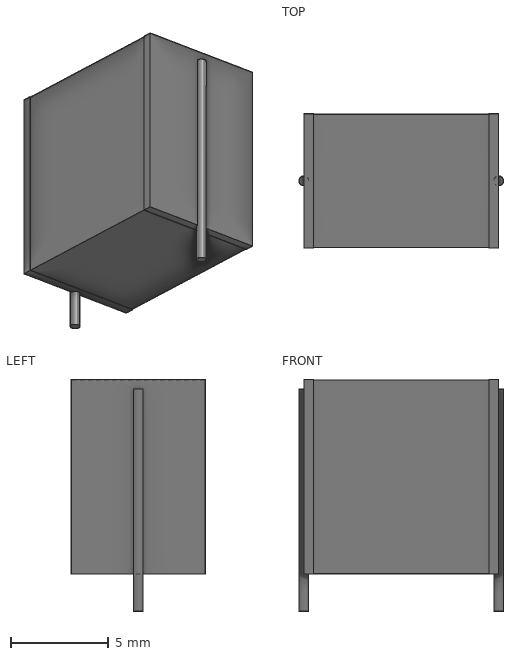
import cadquery as cq

body_length = 10.0
body_width = 6.9
body_height = 10.0

plate_thickness = 0.5

core_setback = 0.02

lead_diameter = 0.5
lead_drop = 1.9
lead_top_gap = 0.5
lead_length = lead_drop + body_height - lead_top_gap


def make_end_plate(side):
    """End plate at the X end given by side (-1 or +1)."""
    center_x = side * (body_length - plate_thickness) / 2
    return (
        cq.Workplane("XY")
        .box(plate_thickness, body_width, body_height, centered=(True, True, False))
        .translate((center_x, 0, 0))
    )


def make_core():
    """Block between the end plates, set back from their edges all around."""
    core_length = body_length - 2 * plate_thickness
    core_width = body_width - 2 * core_setback
    core_height = body_height - 2 * core_setback
    return (
        cq.Workplane("XY")
        .box(core_length, core_width, core_height, centered=(True, True, False))
        .translate((0, 0, core_setback))
    )


def make_lead(side):
    """Round lead with its axis in the outer face of an end plate."""
    return (
        cq.Workplane("XY", origin=(side * body_length / 2, 0, -lead_drop))
        .circle(lead_diameter / 2)
        .extrude(lead_length)
    )


result = make_core()
for side in (-1, 1):
    result = result.union(make_end_plate(side)).union(make_lead(side))